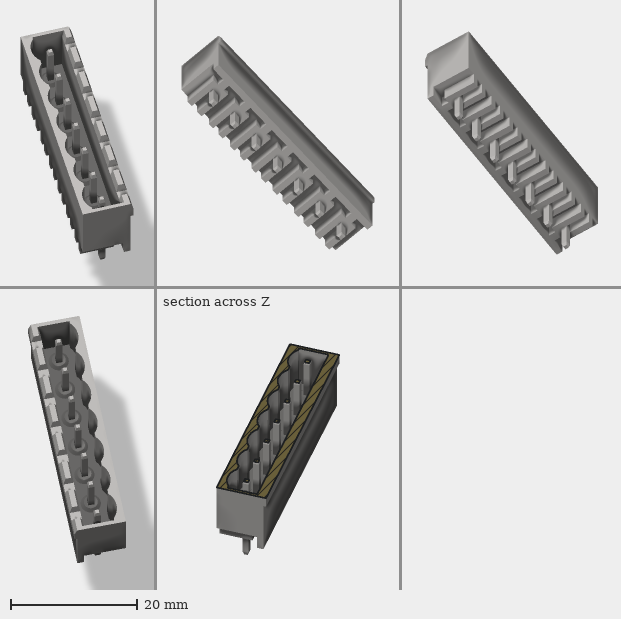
import cadquery as cq


pole_count = 7
pitch = 5.08
pole_xs = [(index - (pole_count - 1) / 2) * pitch for index in range(pole_count)]

length = 36.76
total_height = 16.6
pin_below = 4.5
height = total_height - pin_below
front_y = -4.0
total_depth = 8.3
ledge_y = front_y + total_depth
ledge_overhang = 0.45
back_y = ledge_y - ledge_overhang
ledge_height = 3.1
bevel_height = 1.3

end_wall = 0.6
front_wall = 1.75
back_wall = 1.25
floor_z = 3.5
lip_bevel = 0.35
scallop_top_radius = 3.13
scallop_floor_radius = 2.95

notch_floor_width = 1.4
notch_top_width = 2.05

boss_diameter = 3.2
boss_top_diameter = 2.2
boss_height = (boss_diameter - boss_top_diameter) / 2

foot_height = 2.3
rail_depth = 1.1
foot_gap = 1.2
foot_width = 3.35
slot_width = 1.3

pin_width = 1.0
pin_recess = 1.05
pin_top_z = height - pin_recess
pin_taper = 0.65
pin_tip_width = 0.6


def block(x_range, y_range, z_range):
    """Box between the given limits on each axis."""
    size = [high - low for low, high in (x_range, y_range, z_range)]
    low_corner = (x_range[0], y_range[0], z_range[0])
    return cq.Workplane("XY").box(*size, centered=False).translate(low_corner)


def centred(x, width):
    """Limits of a stretch of the given width about x."""
    return (x - width / 2, x + width / 2)


def make_shell():
    """Solid housing above the feet, with the bevelled ledge along its back."""
    profile = [
        (front_y, foot_height),
        (back_y, foot_height),
        (back_y, height - ledge_height),
        (ledge_y, height - ledge_height),
        (ledge_y, height - bevel_height),
        (back_y, height),
        (front_y, height),
    ]
    return cq.Workplane("YZ").polyline(profile).close().extrude(length / 2, both=True)


def make_cavity():
    """Space inside the walls, with a bevelled back lip and a conical scallop at each pole."""
    inner_front = front_y + front_wall
    inner_back = back_y - back_wall
    profile = [
        (inner_front, floor_z),
        (inner_back, floor_z),
        (inner_back, height - bevel_height),
        (inner_back + lip_bevel, height),
        (inner_front, height),
    ]
    cavity = cq.Workplane("YZ").polyline(profile).close().extrude(length / 2 - end_wall, both=True)
    for x in pole_xs:
        cone = cq.Solid.makeCone(
            scallop_floor_radius, scallop_top_radius, height - floor_z, pnt=cq.Vector(x, 0, floor_z)
        )
        front_half = block(centred(x, 2 * scallop_top_radius), (front_y, 0), (floor_z, height))
        inside_ends = block(centred(0, length - 2 * end_wall), (front_y, 0), (floor_z, height))
        cavity = cavity.union(cq.Workplane(cone).intersect(front_half).intersect(inside_ends))
    return cavity


def make_notch(x):
    """Slot with sloping sides across the top of the back wall and its ledge."""
    profile = [
        (x - notch_floor_width / 2, height - bevel_height),
        (x + notch_floor_width / 2, height - bevel_height),
        (x + notch_top_width / 2, height),
        (x - notch_top_width / 2, height),
    ]
    return cq.Workplane("XZ").polyline(profile).close().extrude(-ledge_y)


def make_boss(x):
    """Conical boss around a pin on the cavity floor."""
    cone = cq.Solid.makeCone(
        boss_diameter / 2, boss_top_diameter / 2, boss_height, pnt=cq.Vector(x, 0, floor_z)
    )
    return cq.Workplane(cone)


def make_foot(x):
    """Foot around a pin, slotted from its front to the back of the pin, with a web to the rail."""
    rail_y = back_y - rail_depth
    foot_back = rail_y - foot_gap
    foot_z = (0, foot_height)
    foot = block(centred(x, foot_width), (front_y, foot_back), foot_z)
    web = block(centred(x, slot_width), (foot_back, rail_y), foot_z)
    slot = block(centred(x, slot_width), (front_y, pin_width / 2), foot_z)
    return foot.union(web).cut(slot)


def make_rail():
    """Full-length rail under the back edge of the housing."""
    return block(centred(0, length), (back_y - rail_depth, back_y), (0, foot_height))


def make_pin(x):
    """Square pin tapered at both ends."""
    taper_inset = (pin_width - pin_tip_width) / 2
    half = pin_width / 2
    tip = half - taper_inset
    low = -pin_below
    profile = [
        (-tip, low),
        (tip, low),
        (half, low + pin_taper),
        (half, pin_top_z - pin_taper),
        (tip, pin_top_z),
        (-tip, pin_top_z),
        (-half, pin_top_z - pin_taper),
        (-half, low + pin_taper),
    ]
    across_x = cq.Workplane("XZ").polyline(profile).close().extrude(half, both=True)
    across_y = cq.Workplane("YZ").polyline(profile).close().extrude(half, both=True)
    return across_x.intersect(across_y).translate((x, 0, 0))


result = make_shell().cut(make_cavity()).union(make_rail())
for pole_x in pole_xs:
    result = result.cut(make_notch(pole_x))
    result = result.union(make_foot(pole_x))
    result = result.union(make_boss(pole_x))
    result = result.union(make_pin(pole_x))